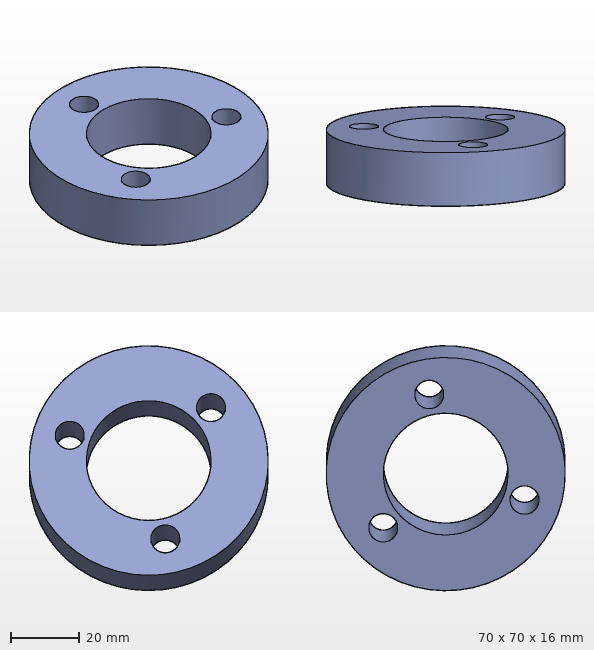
import cadquery as cq

outer_diameter = 70.0
bore_diameter = 36.5
thickness = 16.0

hole_count = 3
hole_diameter = 8.5
hole_circle_radius = 24.35
first_hole_angle = 90

ring = (
    cq.Workplane("XY")
    .circle(outer_diameter / 2)
    .circle(bore_diameter / 2)
    .extrude(thickness)
)

hole_cutters = (
    cq.Workplane("XY")
    .polarArray(hole_circle_radius, first_hole_angle, 360, hole_count)
    .circle(hole_diameter / 2)
    .extrude(thickness)
)

result = ring.cut(hole_cutters)